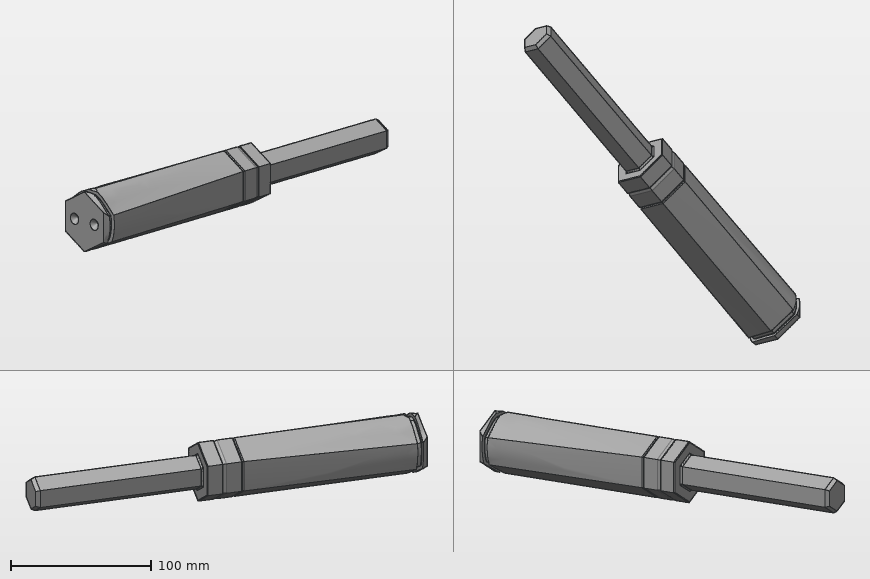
import cadquery as cq
import math

total_length = 294.0
body_height = 45.0
swollen_width = 44.5
sides = 6

body_radius = body_height / 2
rod_radius = 13.0
wiper_radius = 14.0
wiper_tip_radius = 13.2
end_face_radius = 22.3

cap_rear = 3.8
barrel_front = 8.2
barrel_rear = 140.2
front_collar_end = 152.5
rear_collar_start = 155.2
rear_collar_end = 167.3
wiper_rear = 168.8

low_corner = (19.7, -12.3)
side_middle = (swollen_width / 2, 0)
high_corner = (21.5, 8.0)
shoulder_middle = (12.5, 16.2)
mark_corner = (6.0, 21.0)

mark_height = 21.5
mark_rear = 11.0

groove_depth = 2.4
spacer_chamfer = 1.0
spacer_chamfer_depth = 0.5
rear_chamfer = 0.5
joint_chamfer = 1.0
joint_chamfer_depth = 0.5
shoulder_depth = 1.0
rod_chamfer = 3.0
rod_chamfer_depth = 1.8

hole_radius = 4.0
hole_offset = 10.0
hole_depth = 4.0


def corner(radius, index):
    """Corner of a hexagon, counted from the top one towards +X."""
    angle = math.pi / 2 - index * 2 * math.pi / sides
    return (radius * math.cos(angle), radius * math.sin(angle))


def at_y(point, y):
    return cq.Vector(point[0], y, point[1])


def hexagon(radius, y):
    """Closed hexagonal wire with corners at the top and the bottom."""
    corners = [at_y(corner(radius, i), y) for i in range(sides)]
    return cq.Wire.makePolygon(corners, close=True)


def swollen_outline(inset, y):
    """Six-sided wire with bowed sides and shoulders, shrunk so that its top drops by inset."""
    shrink = 1 - inset / body_radius

    def place(point, side=1):
        return at_y((side * point[0] * shrink, point[1] * shrink), y)

    bottom = place((0, -body_radius))

    def bowed_side(side):
        return cq.Edge.makeThreePointArc(
            place(high_corner, side), place(side_middle, side), place(low_corner, side)
        )

    def shoulder(side):
        points = [(0, body_radius), mark_corner, shoulder_middle, high_corner]
        return cq.Edge.makeSpline([place(point, side) for point in points])

    edges = [
        shoulder(1),
        bowed_side(1),
        cq.Edge.makeLine(place(low_corner), bottom),
        cq.Edge.makeLine(bottom, place(low_corner, -1)),
        bowed_side(-1),
        shoulder(-1),
    ]
    return cq.Wire.assembleEdges(edges)


def between(first, second):
    """Solid with straight rulings between two wires."""
    return cq.Workplane(cq.Solid.makeLoft([first, second], True))


def hex_bar(radius, start, end):
    return between(hexagon(radius, start), hexagon(radius, end))


def make_rod():
    straight_end = total_length - rod_chamfer
    tip = between(
        hexagon(rod_radius, straight_end),
        hexagon(rod_radius - rod_chamfer_depth, total_length),
    )
    return hex_bar(rod_radius, rear_collar_end, straight_end).union(tip)


def make_wiper():
    outside = between(hexagon(wiper_radius, rear_collar_end), hexagon(wiper_tip_radius, wiper_rear))
    return outside.cut(hex_bar(rod_radius, rear_collar_end, wiper_rear))


def make_rear_collar():
    collar = hex_bar(body_radius, rear_collar_start, rear_collar_end)
    return collar.faces(">Y").chamfer(rear_chamfer)


def make_front_collar():
    joint_rim = barrel_rear + joint_chamfer
    lead_in = between(
        hexagon(body_radius - joint_chamfer_depth, barrel_rear), hexagon(body_radius, joint_rim)
    )
    main = hex_bar(body_radius, joint_rim, front_collar_end)
    shoulder = between(
        hexagon(body_radius, front_collar_end),
        hexagon(body_radius - shoulder_depth, rear_collar_start),
    )
    return lead_in.union(main).union(shoulder)


def mark_cutter():
    """Space above the index mark: level over the groove, rising to the ridge at both ends."""
    clearance = 3.0
    profile = [
        (0, end_face_radius),
        (cap_rear, mark_height),
        (barrel_front, mark_height),
        (mark_rear, body_radius),
        (mark_rear, body_radius + clearance),
        (0, body_radius + clearance),
    ]
    return cq.Workplane("YZ").polyline(profile).close().extrude(body_radius, both=True)


def make_barrel():
    joint_rim = barrel_rear - joint_chamfer
    grip = between(swollen_outline(0, barrel_front), hexagon(body_radius, joint_rim))
    lead_in = between(
        hexagon(body_radius, joint_rim), hexagon(body_radius - joint_chamfer_depth, barrel_rear)
    )
    return grip.union(lead_in).cut(mark_cutter())


def make_spacer():
    """Bevelled core of the groove between the cap and the barrel, flattened under the index mark."""
    edge_inset = groove_depth + spacer_chamfer_depth
    outlines = [
        swollen_outline(edge_inset, cap_rear),
        swollen_outline(groove_depth, cap_rear + spacer_chamfer),
        swollen_outline(groove_depth, barrel_front - spacer_chamfer),
        swollen_outline(edge_inset, barrel_front),
    ]
    core = between(outlines[0], outlines[1])
    for first, second in zip(outlines[1:], outlines[2:]):
        core = core.union(between(first, second))
    lowered_mark = mark_cutter().translate((0, 0, -groove_depth))
    return core.cut(lowered_mark)


def hole_cutter(x):
    """Cone that narrows from the end face into the cap."""
    mouth = cq.Vector(x, 0, 0)
    inward = cq.Vector(0, 1, 0)
    return cq.Workplane(cq.Solid.makeCone(hole_radius, 0, hole_depth, mouth, inward))


def make_cap():
    cap = between(hexagon(end_face_radius, 0), swollen_outline(0, cap_rear)).cut(mark_cutter())
    for x in (-hole_offset, hole_offset):
        cap = cap.cut(hole_cutter(x))
    return cap


bodies = [
    make_rod(),
    make_wiper(),
    make_rear_collar(),
    make_front_collar(),
    make_barrel(),
    make_spacer(),
    make_cap(),
]
result = cq.Compound.makeCompound([body.val() for body in bodies])